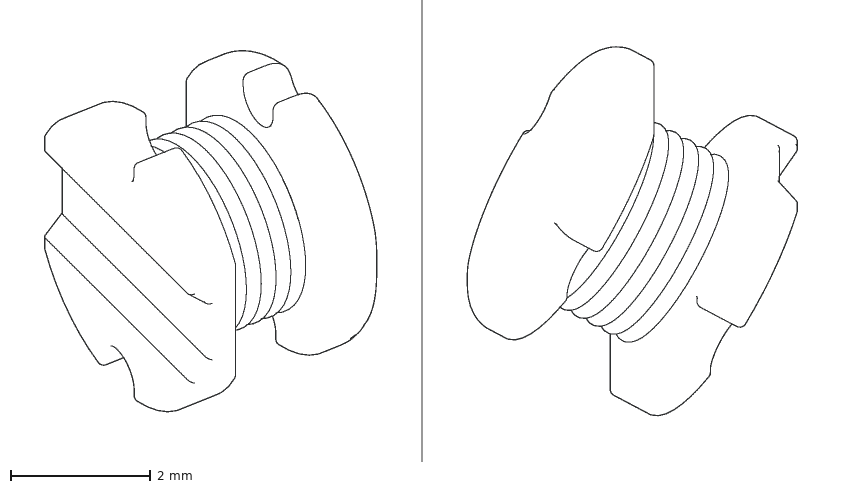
import cadquery as cq

WIDTH = 4.0
LENGTH = 3.2
FLANGE_DIAMETER = 4.503
FLANGE_RADIUS = FLANGE_DIAMETER / 2
FLANGE_THICKNESS = 0.8
SHAFT_RADIUS = 1.2

NOTCH_RADIUS = 0.4
NOTCH_CENTRE = 2.0
TOP = 1
BOTTOM = -1

SLOT_DEPTH = 0.3
SLOT_FLOOR_WIDTH = 0.995
SLOT_MOUTH_WIDTH = SLOT_FLOOR_WIDTH + 2 * SLOT_DEPTH

EDGE_FILLET = 0.095
BACK_FILLET = 0.4

TURN_COUNT = 6
TURN_PITCH = 0.25
TURN_WIDTH = 0.205
TURN_OUTER_RADIUS = 1.5
FIRST_TURN_OFFSET = 0.2

FRONT_Y = -LENGTH / 2
BACK_Y = LENGTH / 2
FRONT_INNER_Y = FRONT_Y + FLANGE_THICKNESS
BACK_INNER_Y = BACK_Y - FLANGE_THICKNESS


def cylinder(radius, start_y, end_y):
    """Solid cylinder on the drum axis between two Y positions."""
    return cq.Workplane("XZ", origin=(0, start_y, 0)).circle(radius).extrude(start_y - end_y)


def trim_flats(disc):
    """Cut a disc to the flange width with two flats facing -X and +X."""
    return disc.intersect(cq.Workplane("XY").box(WIDTH, LENGTH, FLANGE_DIAMETER))


def wire_notch(start_y, side):
    """Round-bottomed notch cut through one flange, on the TOP or BOTTOM side."""
    centre = side * NOTCH_CENTRE
    mouth = 2 * centre
    return (
        cq.Workplane("XZ", origin=(0, start_y, 0))
        .moveTo(-NOTCH_RADIUS, mouth)
        .lineTo(-NOTCH_RADIUS, centre)
        .threePointArc((0, centre - side * NOTCH_RADIUS), (NOTCH_RADIUS, centre))
        .lineTo(NOTCH_RADIUS, mouth)
        .close()
        .extrude(-FLANGE_THICKNESS)
    )


def terminal_slot():
    """Trapezoidal slot running along X in the front face."""
    floor_y = FRONT_Y + SLOT_DEPTH
    return (
        cq.Workplane("YZ", origin=(-WIDTH / 2, 0, 0))
        .moveTo(FRONT_Y, -SLOT_MOUTH_WIDTH / 2)
        .lineTo(floor_y, -SLOT_FLOOR_WIDTH / 2)
        .lineTo(floor_y, SLOT_FLOOR_WIDTH / 2)
        .lineTo(FRONT_Y, SLOT_MOUTH_WIDTH / 2)
        .close()
        .extrude(WIDTH)
    )


def front_flange():
    """Terminal flange: every edge is rounded except the long edges of the slot."""
    flange = trim_flats(cylinder(FLANGE_RADIUS, FRONT_Y, FRONT_INNER_Y))
    for side in (TOP, BOTTOM):
        flange = flange.cut(wire_notch(FRONT_Y, side))
    flange = flange.cut(terminal_slot())
    return flange.edges("not |X").fillet(EDGE_FILLET)


def back_flange():
    """Back flange: large outer rounding, rounded flats and bottom notch, sharp-edged top notch."""
    disc = cylinder(FLANGE_RADIUS, BACK_INNER_Y, BACK_Y).edges(">Y").fillet(BACK_FILLET)
    flange = trim_flats(disc).cut(wire_notch(BACK_INNER_Y, BOTTOM))
    curved_edges = flange.edges("%BSPLINE")
    flange = flange.faces("<X or >X or <Y").edges().add(curved_edges).fillet(EDGE_FILLET)
    return flange.cut(wire_notch(BACK_INNER_Y, TOP))


def drum_core():
    """Both flanges joined by the winding shaft."""
    shaft = cylinder(SHAFT_RADIUS, FRONT_INNER_Y, BACK_INNER_Y)
    return shaft.union(front_flange()).union(back_flange())


def wire_turn(centre_y):
    """One ring of wire, flat-sided with a round crest, seated on the shaft."""
    half_width = TURN_WIDTH / 2
    crest_start = TURN_OUTER_RADIUS - half_width
    return (
        cq.Workplane("XY")
        .moveTo(SHAFT_RADIUS, centre_y - half_width)
        .lineTo(crest_start, centre_y - half_width)
        .threePointArc((TURN_OUTER_RADIUS, centre_y), (crest_start, centre_y + half_width))
        .lineTo(SHAFT_RADIUS, centre_y + half_width)
        .close()
        .revolve(360, (0, 0, 0), (0, 1, 0))
    )


core = drum_core()
first_turn_y = BACK_INNER_Y - FIRST_TURN_OFFSET
wire_turns = [wire_turn(first_turn_y - index * TURN_PITCH) for index in range(TURN_COUNT)]

result = cq.Compound.makeCompound([core.val(), *[turn.val() for turn in wire_turns]])